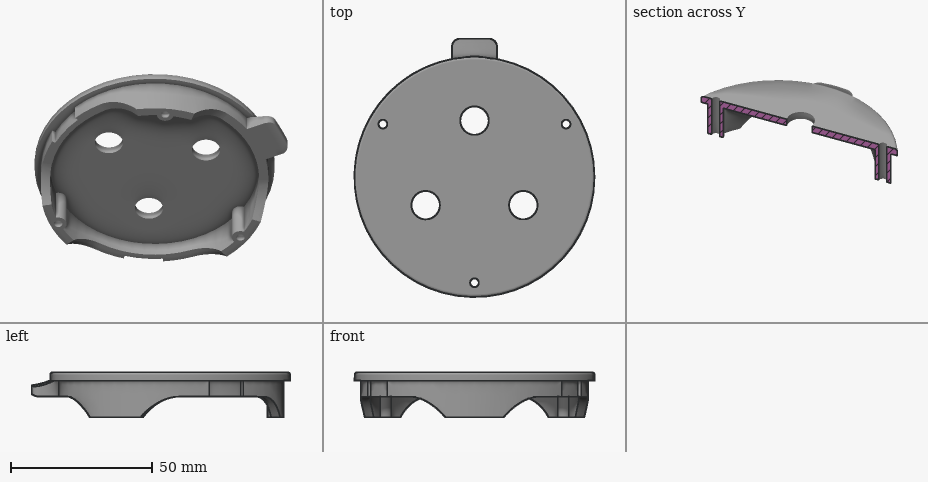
import cadquery as cq
import math

overall_length = 91.5
total_height = 16.0
plate_thickness = 3.0
band_height = 5.7
plate_bottom = total_height - plate_thickness
band_bottom = plate_bottom - band_height

plate_diameter = 85.0
plate_radius = plate_diameter / 2
plate_edge_round = 1.0
large_hole_diameter = 10.0
large_hole_circle = 19.95
large_hole_angles = (90, 210, 330)
screw_hole_diameter = 3.0
screw_circle = 37.4

skirt_radius = 40.3
skirt_inner_radius = 37.0
foot_angles = (30, 150, 270)
foot_bottom_half_angle = 14.8
foot_top_half_angle = 34.4
boss_radius = 3.0

recess_depth = 1.3
recess_angles = (210, 330)
recess_half_angle = 10

tab_width = 16.0
tab_end = overall_length - plate_radius
tab_start = skirt_inner_radius + 0.9
tab_corner_radius = 3.0
tab_end_top = total_height - 4.6
tab_end_bottom = band_bottom + 0.9
tab_bottom_curve_length = 2.7
tab_cove_start = 41.45
tab_cove_top = plate_bottom + 0.55
tab_middle_y = 44.8
tab_middle_top = total_height - 3.75
tab_crown_radius = 41.2


def polar_points(radius, angles):
    return [
        (radius * math.cos(math.radians(a)), radius * math.sin(math.radians(a)))
        for a in angles
    ]


def disc(radius, bottom, top):
    return cq.Workplane("XY").workplane(offset=bottom).circle(radius).extrude(top - bottom)


def foot_section(distance):
    """Foot outline at a distance from the axis: a flat end and two concave flanks."""
    bottom = distance * math.tan(math.radians(foot_bottom_half_angle))
    top = distance * math.tan(math.radians(foot_top_half_angle))
    run = top - bottom
    flank_radius = (run**2 + band_bottom**2) / (2 * band_bottom)
    half_sweep = math.asin(run / flank_radius) / 2
    mid_x = top - flank_radius * math.sin(half_sweep)
    mid_z = band_bottom - flank_radius * (1 - math.cos(half_sweep))
    outline = (
        cq.Workplane("YZ", origin=(distance, 0, 0))
        .moveTo(-bottom, 0)
        .lineTo(bottom, 0)
        .threePointArc((mid_x, mid_z), (top, band_bottom))
        .lineTo(top, plate_bottom)
        .lineTo(-top, plate_bottom)
        .lineTo(-top, band_bottom)
        .threePointArc((-mid_x, mid_z), (-bottom, 0))
        .close()
    )
    return outline.val()


def make_foot(angle):
    """Sector of the skirt ring whose flanks point at the axis."""
    sections = [foot_section(skirt_inner_radius / 2), foot_section(plate_radius)]
    wedge = cq.Workplane(cq.Solid.makeLoft(sections, True))
    ring = disc(skirt_radius, 0, plate_bottom).cut(disc(skirt_inner_radius, 0, plate_bottom))
    return ring.intersect(wedge.rotate((0, 0, 0), (0, 0, 1), angle))


def make_recess(angle):
    outer_corners = polar_points(plate_radius / math.cos(math.radians(recess_half_angle)),
                                 (angle - recess_half_angle, angle + recess_half_angle))
    sector = (
        cq.Workplane("XY")
        .workplane(offset=band_bottom)
        .polyline([(0, 0)] + outer_corners)
        .close()
        .extrude(band_height)
    )
    return sector.cut(disc(skirt_radius - recess_depth, band_bottom, plate_bottom))


def make_tab():
    """Rounded tab with a concave rise to the plate and a crown across its width."""
    plan = (
        cq.Workplane("XY")
        .center(0, (tab_start + tab_end) / 2)
        .rect(tab_width, tab_end - tab_start)
        .extrude(total_height)
        .edges("|Z and >Y")
        .fillet(tab_corner_radius)
    )
    underside_drop = tab_end_bottom - band_bottom
    underside_radius = (tab_bottom_curve_length**2 + underside_drop**2) / (2 * underside_drop)
    half_sweep = math.asin(tab_bottom_curve_length / underside_radius) / 2
    underside_start = tab_end - tab_bottom_curve_length
    underside_mid = (
        underside_start + underside_radius * math.sin(half_sweep),
        band_bottom + underside_radius * (1 - math.cos(half_sweep)),
    )
    side = (
        cq.Workplane("YZ")
        .moveTo(tab_start, band_bottom)
        .lineTo(underside_start, band_bottom)
        .threePointArc(underside_mid, (tab_end, tab_end_bottom))
        .lineTo(tab_end, plate_bottom)
        .lineTo(tab_start, plate_bottom)
        .close()
        .extrude(tab_width / 2, both=True)
    )
    crown_axis = tab_end_top - tab_crown_radius
    crown = (
        cq.Workplane("YZ")
        .moveTo(tab_start, crown_axis)
        .lineTo(tab_end, crown_axis)
        .lineTo(tab_end, tab_end_top)
        .threePointArc((tab_middle_y, tab_middle_top), (tab_cove_start, tab_cove_top))
        .lineTo(tab_start, total_height)
        .close()
        .revolve(360, (tab_start, crown_axis), (tab_end, crown_axis))
    )
    return side.intersect(plan).intersect(crown)


plate = disc(plate_radius, plate_bottom, total_height).faces(">Z").edges().fillet(plate_edge_round)
band = disc(skirt_radius, band_bottom, plate_bottom).cut(
    disc(skirt_inner_radius, band_bottom, plate_bottom)
)
for recess_angle in recess_angles:
    band = band.cut(make_recess(recess_angle))

result = plate.union(band)
for foot_angle in foot_angles:
    result = result.union(make_foot(foot_angle))

bosses = (
    cq.Workplane("XY")
    .pushPoints(polar_points(screw_circle, foot_angles))
    .circle(boss_radius)
    .extrude(plate_bottom)
    .intersect(disc(skirt_radius, 0, plate_bottom))
)
result = result.union(bosses).union(make_tab())

screw_holes = (
    cq.Workplane("XY")
    .pushPoints(polar_points(screw_circle, foot_angles))
    .circle(screw_hole_diameter / 2)
    .extrude(total_height)
)
large_holes = (
    cq.Workplane("XY")
    .workplane(offset=plate_bottom)
    .pushPoints(polar_points(large_hole_circle, large_hole_angles))
    .circle(large_hole_diameter / 2)
    .extrude(plate_thickness)
)
result = result.cut(screw_holes).cut(large_holes)